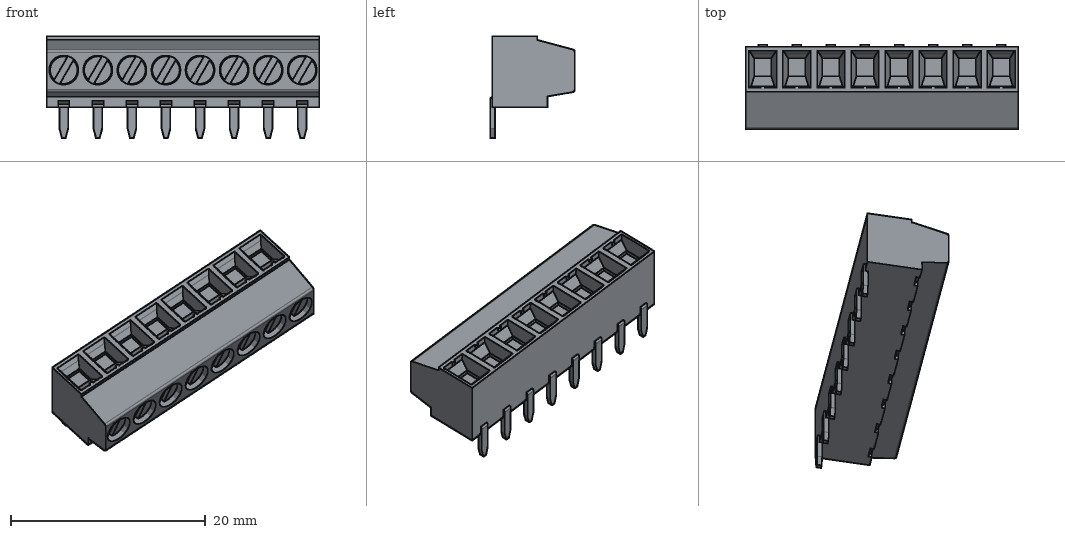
import cadquery as cq


pole_count = 8
length = 28.0
pitch = length / pole_count
depth = 8.5
height = 7.35
rim_depth = 4.65
rim_step = 0.4
nose_top = 5.9
nose_bottom = 1.6
foot_depth = 5.7
foot_height = 1.12
nose_radius = 0.3

funnel_width = 2.85
funnel_wall = 0.42
lip_drop = 0.5
lip_inset_rear = 0.28
lip_inset_front = 0.17
funnel_drop = 1.18
throat_width = 1.75
throat_length = 1.85
throat_inset_rear = 0.78
throat_drop = 0.42
tab_width = 0.4

screw_height = 3.85
screw_diameter = 2.8
recess_diameter = 3.0
head_depth = 0.62
slot_width = 0.7
slot_depth = 0.55
slot_angle = 30.0

notch_width = 1.18
notch_height = 0.67
notch_depth = 0.35

pin_width = 0.92
pin_thickness = 0.5
pin_proud = 0.2
pin_top = 1.05
pin_length = 3.15
tip_width = 0.4
tip_length = 1.0

pole_positions = [(i - (pole_count - 1) / 2) * pitch for i in range(pole_count)]
pin_front = pin_proud - pin_thickness


def extrude_along_x(points, width):
    """Closed (Y, Z) outline, extruded symmetrically about X = 0."""
    return cq.Workplane("YZ").polyline(points).close().extrude(width / 2, both=True)


def make_housing():
    housing = extrude_along_x(
        [
            (0, 0),
            (0, height),
            (-rim_depth, height),
            (-rim_depth, height - rim_step),
            (-depth, nose_top),
            (-depth, nose_bottom),
            (-foot_depth, foot_height),
            (-foot_depth, 0),
        ],
        length,
    )
    return housing.faces("<Y").edges("|X").fillet(nose_radius)


def make_funnel():
    """Tapered wire entry with a straight throat and a small tab on its front rim."""
    rear = -funnel_wall
    front = funnel_wall - rim_depth
    throat_rear = rear - throat_inset_rear
    throat_front = throat_rear - throat_length
    lip_z = height - lip_drop
    funnel_z = height - funnel_drop

    side_outline = extrude_along_x(
        [
            (rear, height),
            (rear - lip_inset_rear, lip_z),
            (throat_rear, funnel_z),
            (throat_front, funnel_z),
            (front + lip_inset_front, lip_z),
            (front, height),
        ],
        funnel_width,
    )
    end_outline = (
        cq.Workplane("XZ")
        .polyline(
            [
                (-funnel_width / 2, height),
                (funnel_width / 2, height),
                (throat_width / 2, funnel_z),
                (-throat_width / 2, funnel_z),
            ]
        )
        .close()
        .extrude(rim_depth)
    )
    throat = extrude_along_x(
        [
            (throat_rear, funnel_z),
            (throat_front, funnel_z),
            (throat_front, funnel_z - throat_drop),
            (throat_rear, funnel_z - throat_drop),
        ],
        throat_width,
    )
    tab = extrude_along_x(
        [
            (front, height),
            (front + lip_inset_front, height),
            (front + lip_inset_front, lip_z),
        ],
        tab_width,
    )
    return side_outline.intersect(end_outline).union(throat).cut(tab)


def make_screw_recess():
    """Round well leaving a slotted screw head standing clear of its wall."""
    well_depth = head_depth + slot_depth
    well = (
        cq.Workplane("XZ", origin=(0, -depth, screw_height))
        .circle(recess_diameter / 2)
        .extrude(-well_depth)
    )
    head_plane = cq.Workplane("XZ", origin=(0, head_depth - depth, screw_height))
    head = head_plane.circle(screw_diameter / 2).extrude(-slot_depth)
    slot = (
        head_plane.transformed(rotate=(0, 0, -slot_angle))
        .rect(slot_width, screw_diameter)
        .extrude(-slot_depth)
    )
    return well.cut(head.cut(slot))


def make_notch():
    """Notch open to the front and bottom of the foot, with a sloping roof."""
    back = notch_depth - foot_depth
    return extrude_along_x(
        [
            (-foot_depth, 0),
            (-foot_depth, notch_height),
            (back, notch_height - notch_depth),
            (back, 0),
        ],
        notch_width,
    )


def make_pin():
    """Flat pin with a pointed tip and a rounded rear shoulder."""
    shoulder_radius = pin_proud
    side_outline = (
        cq.Workplane("YZ")
        .moveTo(pin_front, -pin_length)
        .lineTo(pin_proud, -pin_length)
        .lineTo(pin_proud, pin_top - shoulder_radius)
        .radiusArc((pin_proud - shoulder_radius, pin_top), -shoulder_radius)
        .lineTo(pin_front, pin_top)
        .close()
        .extrude(pin_width / 2, both=True)
    )
    front_outline = (
        cq.Workplane("XZ", origin=(0, pin_proud, 0))
        .polyline(
            [
                (-pin_width / 2, pin_top),
                (pin_width / 2, pin_top),
                (pin_width / 2, tip_length - pin_length),
                (tip_width / 2, -pin_length),
                (-tip_width / 2, -pin_length),
                (-pin_width / 2, tip_length - pin_length),
            ]
        )
        .close()
        .extrude(pin_thickness)
    )
    return side_outline.intersect(front_outline)


pole_cutter = make_funnel().union(make_screw_recess()).union(make_notch())
pin = make_pin()

result = make_housing()
for x in pole_positions:
    result = result.cut(pole_cutter.translate((x, 0, 0)))
    result = result.union(pin.translate((x, 0, 0)))